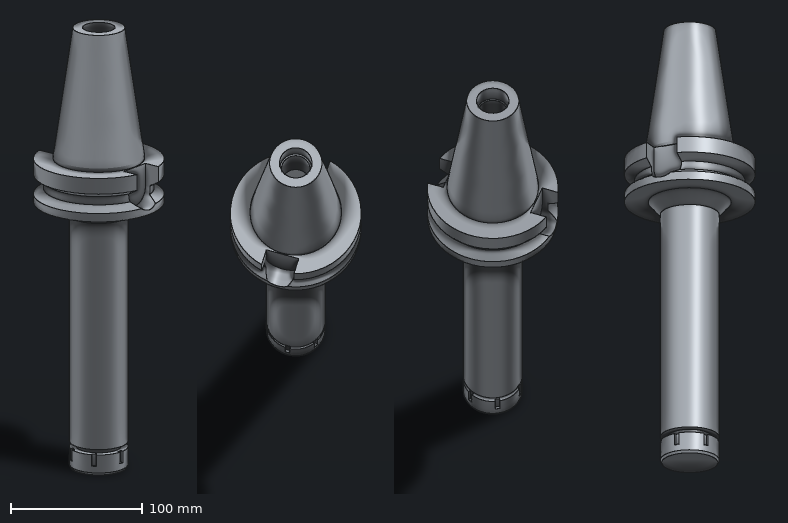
import cadquery as cq
import math

total_length = 351.8
taper_length = 102.0
gauge_band = 2.8
flange_height = 35.0
shoulder_height = 10.2
nut_height = 16.5
neck_height = 4.2

taper_top = taper_length
flange_top = -gauge_band
flange_bottom = flange_top - flange_height
shaft_top = flange_bottom - shoulder_height
nut_bottom = taper_top - total_length
nut_top = nut_bottom + nut_height
shaft_bottom = nut_top + neck_height

taper_ratio = 7 / 24
gauge_radius = 35.0
taper_top_radius = gauge_radius - taper_length * taper_ratio / 2

flange_radius = 50.0
groove_root_radius = 42.2
upper_rim_height = 12.5
lower_rim_height = 6.7
groove_flank_angle = 30.0
groove_flank_height = (flange_radius - groove_root_radius) * math.tan(math.radians(groove_flank_angle))
groove_top = flange_top - upper_rim_height
groove_bottom = flange_bottom + lower_rim_height

shoulder_radius = 31.5
shaft_radius = 22.5
neck_radius = 17.2

drive_slot_width = 25.7
drive_slot_depth = 31.0
drive_slot_floor = 35.5

mouth_radius = 12.3
mouth_depth = 13.0
bore_radius = 11.0
bore_depth = 42.2

nut_radius = shaft_radius
nut_chamfer_width = 1.0
nut_chamfer_height = 2.0
wrench_slot_count = 6
wrench_slot_width = 3.5
wrench_slot_depth = 2.0
wrench_slot_length = 9.0


def make_holder_blank():
    """Taper, flange, shoulder, shaft and neck as one revolved profile."""
    profile = [
        (0, taper_top),
        (taper_top_radius, taper_top),
        (gauge_radius, 0),
        (gauge_radius, flange_top),
        (flange_radius, flange_top),
        (flange_radius, groove_top),
        (groove_root_radius, groove_top - groove_flank_height),
        (groove_root_radius, groove_bottom + groove_flank_height),
        (flange_radius, groove_bottom),
        (flange_radius, flange_bottom),
        (shoulder_radius, flange_bottom),
        (shaft_radius, shaft_top),
        (shaft_radius, shaft_bottom),
        (neck_radius, shaft_bottom),
        (neck_radius, nut_top),
        (0, nut_top),
    ]
    return cq.Workplane("XZ").polyline(profile).close().revolve(360, (0, 0), (0, 1))


def make_drive_slot():
    """Cutter for the +X drive slot: open at the top, with a round lower end."""
    half_width = drive_slot_width / 2
    arc_center = flange_top - drive_slot_depth + half_width
    return (
        cq.Workplane("YZ", origin=(drive_slot_floor, 0, 0))
        .moveTo(-half_width, flange_top)
        .lineTo(-half_width, arc_center)
        .threePointArc((0, flange_top - drive_slot_depth), (half_width, arc_center))
        .lineTo(half_width, flange_top)
        .close()
        .extrude(flange_radius - drive_slot_floor)
    )


def make_stepped_hole():
    """Cutter for the wide mouth and the narrower blind bore below it."""
    top_plane = cq.Workplane("XY", origin=(0, 0, taper_top))
    mouth = top_plane.circle(mouth_radius).extrude(-mouth_depth)
    bore = top_plane.circle(bore_radius).extrude(-bore_depth)
    return mouth.union(bore)


def make_holder():
    body = make_holder_blank().cut(make_stepped_hole())
    for angle in (0, 180):
        body = body.cut(make_drive_slot().rotate((0, 0, 0), (0, 0, 1), angle))
    return body


def make_nut():
    """Round nut, bevelled at its lower edge, with wrench slots open at its top face."""
    profile = [
        (0, nut_top),
        (nut_radius, nut_top),
        (nut_radius, nut_bottom + nut_chamfer_height),
        (nut_radius - nut_chamfer_width, nut_bottom),
        (0, nut_bottom),
    ]
    body = cq.Workplane("XZ").polyline(profile).close().revolve(360, (0, 0), (0, 1))
    slot = cq.Workplane("XY").box(
        wrench_slot_depth, wrench_slot_width, wrench_slot_length, centered=(False, True, False)
    ).translate((nut_radius - wrench_slot_depth, 0, nut_top - wrench_slot_length))
    for index in range(wrench_slot_count):
        angle = index * 360 / wrench_slot_count
        body = body.cut(slot.rotate((0, 0, 0), (0, 0, 1), angle))
    return body


holder = make_holder()
nut = make_nut()

result = cq.Compound.makeCompound([holder.val(), nut.val()])